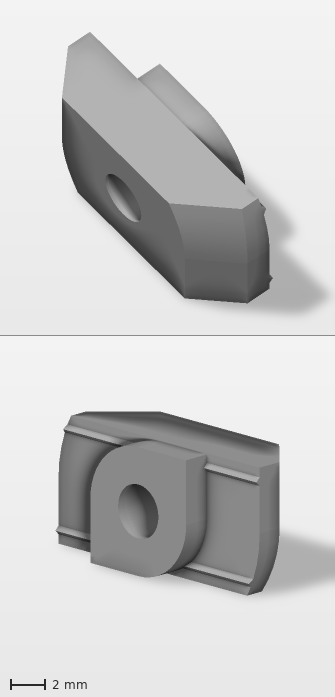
import cadquery as cq
import math

length = 16.5
height = 8.0
total_depth = 6.0
boss_depth = 1.73
body_depth = total_depth - boss_depth

end_bevel = 2.6
bore_diameter = 3.3
boss_width = 7.85
ridge_offset = 3.15
ridge_height = 0.26

half_length = length / 2
half_height = height / 2


def half_turn(shape):
    """Turn a shape half way round the bore axis."""
    return shape.rotate((0, 0, 0), (0, 1, 0), 180)


def corner_arc(radius, half_rise):
    """End point and middle point of a centred arc that climbs from (radius, 0) to half_rise."""
    end_angle = math.asin(half_rise / radius)
    middle_angle = end_angle / 2
    end = (radius * math.cos(end_angle), half_rise)
    middle = (radius * math.cos(middle_angle), radius * math.sin(middle_angle))
    return end, middle


def opposite(point):
    """Mirror a 2D point through the centre."""
    return (-point[0], -point[1])


def twist_outline(radius, half_rise):
    """Rectangle with two opposite corners rounded about its centre."""
    arc_end, arc_middle = corner_arc(radius, half_rise)
    return (
        cq.Workplane("XZ")
        .moveTo(-radius, 0)
        .lineTo(-radius, half_rise)
        .lineTo(*arc_end)
        .threePointArc(arc_middle, (radius, 0))
        .lineTo(radius, -half_rise)
        .lineTo(*opposite(arc_end))
        .threePointArc(opposite(arc_middle), (-radius, 0))
        .close()
    )


def make_bevel_envelope():
    """Volume kept by the left bevel: its outline is swept along the 45 degree slope."""
    bevel_start = cq.Vector(-half_length, end_bevel - body_depth, 0)
    across_slope = cq.Vector(1, 1, 0).normalized()
    centre = bevel_start + across_slope * half_length
    slope_plane = cq.Plane(
        origin=centre.toTuple(), xDir=across_slope.toTuple(), normal=(1, -1, 0)
    )
    far_side = 2 * length
    arc_end, arc_middle = corner_arc(half_length, half_height)
    return (
        cq.Workplane(slope_plane)
        .moveTo(-half_length, 0)
        .lineTo(-half_length, half_height)
        .lineTo(far_side, half_height)
        .lineTo(far_side, -half_height)
        .lineTo(*opposite(arc_end))
        .threePointArc(opposite(arc_middle), (-half_length, 0))
        .close()
        .extrude(2 * length, both=True)
    )


def make_ridge(z_crest):
    """Triangular grip ridge running along the back of the body."""
    return (
        cq.Workplane("YZ", origin=(-half_length, 0, 0))
        .moveTo(0, z_crest - ridge_height)
        .lineTo(ridge_height, z_crest)
        .lineTo(0, z_crest + ridge_height)
        .close()
        .extrude(length)
    )


block = twist_outline(half_length, half_height).extrude(body_depth)

ridge_limit = twist_outline(half_length, half_height).extrude(-ridge_height)
for crest in (-ridge_offset, ridge_offset):
    block = block.union(make_ridge(crest).intersect(ridge_limit))

left_envelope = make_bevel_envelope()
block = block.intersect(left_envelope).intersect(half_turn(left_envelope))

boss_radius = boss_width / 2
boss = twist_outline(boss_radius, boss_radius).extrude(-boss_depth)

bore = cq.Workplane("XZ", origin=(0, boss_depth, 0)).circle(bore_diameter / 2).extrude(total_depth)

result = block.union(boss).cut(bore)